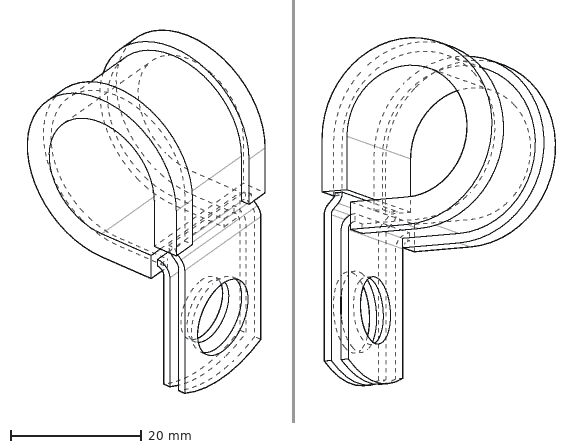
import cadquery as cq
import math

WIDTH = 22.1
LOOP_RADIUS = 14.55
CUSHION_THICKNESS = 4.3
RIM_WIDTH = 4.05
WAIST_RADIUS = 13.1
LOWER_ARM_LENGTH = 9.65
UPPER_ARM_LENGTH = 8.35

STRAP_THICKNESS = 1.25
STRAP_WIDTH = 18.95
BEND_INNER_RADIUS = 1.2
JOG_OFFSET = 1.9
JOG_ANGLE = math.radians(45)

TOTAL_HEIGHT = 51.1
TIP_SAGITTA = 2.1
LOWER_HOLE_DIAMETER = 10.35
UPPER_HOLE_DIAMETER = 12.5
HOLE_TO_TIP = 11.2

BEND_RADIUS = BEND_INNER_RADIUS + STRAP_THICKNESS / 2
STRAP_CENTRE_RADIUS = WAIST_RADIUS - STRAP_THICKNESS / 2
TIP_Z = LOOP_RADIUS - TOTAL_HEIGHT


def extrude_centred(profile, width):
    """Extrude an XZ profile symmetrically about Y = 0."""
    return profile.extrude(width / 2, both=True)


def loop(outer_radius, width):
    """C-shaped loop with two straight arms, open at the +X, -Z corner."""
    inner_radius = LOOP_RADIUS - CUSHION_THICKNESS
    diagonal = math.sqrt(0.5)
    profile = (
        cq.Workplane("XZ")
        .moveTo(LOWER_ARM_LENGTH, -outer_radius)
        .lineTo(0, -outer_radius)
        .threePointArc((-outer_radius * diagonal, outer_radius * diagonal), (outer_radius, 0))
        .lineTo(outer_radius, -UPPER_ARM_LENGTH)
        .lineTo(inner_radius, -UPPER_ARM_LENGTH)
        .lineTo(inner_radius, 0)
        .threePointArc((-inner_radius * diagonal, inner_radius * diagonal), (0, -inner_radius))
        .lineTo(LOWER_ARM_LENGTH, -inner_radius)
        .close()
    )
    return extrude_centred(profile, width)


def clamp_loop():
    """Cushion with a full-size rim on each side of the recessed waist."""
    body = loop(WAIST_RADIUS, WIDTH)
    rim_offset = (WIDTH - RIM_WIDTH) / 2
    for side in (-1, 1):
        body = body.union(loop(LOOP_RADIUS, RIM_WIDTH).translate((0, side * rim_offset, 0)))
    return body


def strap(centreline):
    """Give a strap centreline in the XZ plane its thickness and width."""
    return extrude_centred(centreline.offset2D(STRAP_THICKNESS / 2), STRAP_WIDTH)


def lower_leg():
    """Leg leaving the lower arm along +X and turning down through 90 degrees."""
    start_z = -STRAP_CENTRE_RADIUS
    centreline = (
        cq.Workplane("XZ")
        .moveTo(LOWER_ARM_LENGTH - STRAP_THICKNESS, start_z)
        .lineTo(LOWER_ARM_LENGTH, start_z)
        .tangentArcPoint((BEND_RADIUS, -BEND_RADIUS))
        .lineTo(LOWER_ARM_LENGTH + BEND_RADIUS, TIP_Z)
    )
    return strap(centreline)


def upper_leg():
    """Leg leaving the upper arm downward and stepping outward through an S-bend."""
    start_x = STRAP_CENTRE_RADIUS
    end_x = start_x + JOG_OFFSET
    bend_dx = BEND_RADIUS * (1 - math.cos(JOG_ANGLE))
    bend_dz = BEND_RADIUS * math.sin(JOG_ANGLE)
    slope_dx = JOG_OFFSET - 2 * bend_dx
    slope_dz = slope_dx / math.tan(JOG_ANGLE)
    centreline = (
        cq.Workplane("XZ")
        .moveTo(start_x, STRAP_THICKNESS - UPPER_ARM_LENGTH)
        .lineTo(start_x, -UPPER_ARM_LENGTH)
        .tangentArcPoint((bend_dx, -bend_dz))
        .line(slope_dx, -slope_dz)
        .tangentArcPoint((bend_dx, -bend_dz))
        .lineTo(end_x, TIP_Z)
    )
    return strap(centreline)


def leg_outline(hole_diameter):
    """Strap outline seen along X, with the curved tip and the bolt hole."""
    half_width = STRAP_WIDTH / 2
    shoulder_z = TIP_Z + TIP_SAGITTA
    outline = (
        cq.Workplane("YZ")
        .moveTo(-half_width, 0)
        .lineTo(-half_width, shoulder_z)
        .threePointArc((0, TIP_Z), (half_width, shoulder_z))
        .lineTo(half_width, 0)
        .close()
        .extrude(TOTAL_HEIGHT)
    )
    hole = (
        cq.Workplane("YZ")
        .center(0, TIP_Z + HOLE_TO_TIP)
        .circle(hole_diameter / 2)
        .extrude(TOTAL_HEIGHT)
    )
    return outline.cut(hole)


clamp = clamp_loop()
clamp = clamp.union(lower_leg().intersect(leg_outline(LOWER_HOLE_DIAMETER)))
result = clamp.union(upper_leg().intersect(leg_outline(UPPER_HOLE_DIAMETER)))